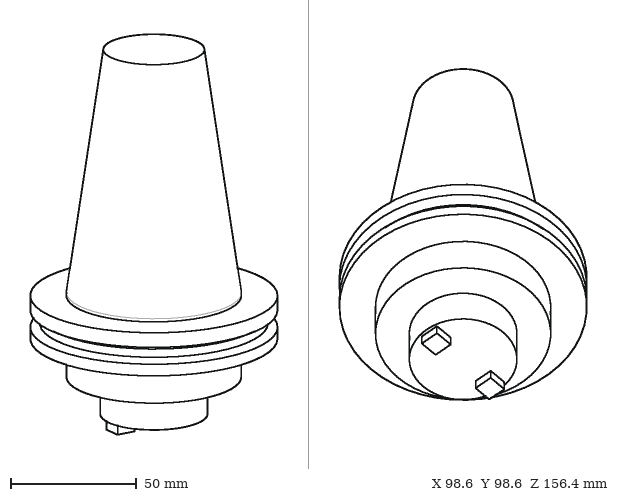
import cadquery as cq

total_height = 156.4
key_height = 4.2
nose_top = 19.7
flange_bottom = 35.7
groove_lower_edge = 40.5
groove_lower_floor = 42.2
groove_upper_floor = 45.7
groove_upper_edge = 47.5
flange_top = 53.6
taper_bottom = 55.0

flange_radius = 49.3
groove_radius = 45.5
body_radius = 34.9
nose_radius = 21.4
taper_end_radius = 20.2

key_width = 8.1
key_length = 8.1
key_spacing = 31.9


def make_holder_body():
    """Revolve the half profile: nose, collar, V-grooved flange and taper."""
    profile = [
        (0, key_height),
        (nose_radius, key_height),
        (nose_radius, nose_top),
        (body_radius, nose_top),
        (body_radius, flange_bottom),
        (flange_radius, flange_bottom),
        (flange_radius, groove_lower_edge),
        (groove_radius, groove_lower_floor),
        (groove_radius, groove_upper_floor),
        (flange_radius, groove_upper_edge),
        (flange_radius, flange_top),
        (body_radius, flange_top),
        (body_radius, taper_bottom),
        (taper_end_radius, total_height),
        (0, total_height),
    ]
    return cq.Workplane("XZ").polyline(profile).close().revolve(360, (0, 0), (0, 1))


def make_drive_keys():
    """Two rectangular keys below the nose, on opposite sides in Y."""
    return (
        cq.Workplane("XY")
        .pushPoints([(0, -key_spacing / 2), (0, key_spacing / 2)])
        .rect(key_width, key_length)
        .extrude(key_height)
    )


result = make_holder_body().union(make_drive_keys())